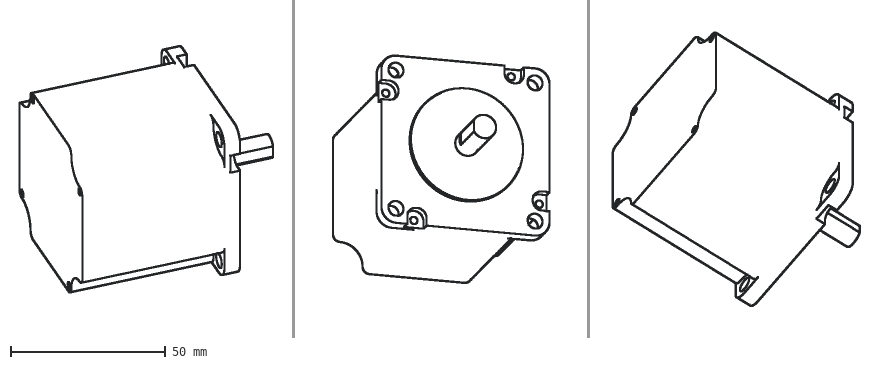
import cadquery as cq
import math

length = 76.0
width = 57.0
half_width = width / 2

shaft_diameter = 8.0
shaft_length = 19.5
flat_length = 15.0
flat_depth = 0.5
pilot_diameter = 38.0
pilot_thickness = 1.6

flange_thickness = 5.5
corner_radius = 5.0
mount_hole_offset = 23.55
mount_hole_diameter = 5.0

scallop_center = 26.1
scallop_radius = 7.6
blend_radius = half_width - scallop_center

screw_offset = 16.5
screw_edge_offset = 26.0
screw_diameter = 2.4
recess_width = 6.5
recess_depth = 3.4

pilot_front = length - shaft_length
flange_front = pilot_front - pilot_thickness
body_length = flange_front - flange_thickness
shaft_radius = shaft_diameter / 2


def extrude_y(sketch, distance):
    """Extrude an XZ sketch toward +Y."""
    return sketch.extrude(-distance)


def section(y):
    return cq.Workplane("XZ", origin=(0, y, 0))


def quarter_turn(solid, index):
    return solid.rotate((0, 0, 0), (0, 1, 0), 90 * index)


def corner_scallop():
    """Cutter for the +X +Z body corner."""
    near = scallop_center - scallop_radius
    blend_start = near - blend_radius
    diagonal = math.sqrt(0.5)
    scallop_middle = scallop_center - scallop_radius * diagonal
    blend_middle_along = blend_start + blend_radius * diagonal
    blend_middle_across = scallop_center + blend_radius * diagonal
    outline = (
        section(0)
        .moveTo(blend_start, half_width)
        .threePointArc((blend_middle_along, blend_middle_across), (near, scallop_center))
        .threePointArc((scallop_middle, scallop_middle), (scallop_center, near))
        .threePointArc((blend_middle_across, blend_middle_along), (half_width, blend_start))
        .lineTo(half_width, half_width)
        .close()
    )
    return extrude_y(outline, body_length)


def screw_cut():
    """Screw hole near the +Z side, with a round-bottomed recess open to that side."""
    hole = section(0).center(-screw_offset, screw_edge_offset).circle(screw_diameter / 2)
    recess_start = flange_front - recess_depth
    round_end = section(recess_start).center(-screw_offset, screw_edge_offset).circle(recess_width / 2)
    opening = section(recess_start).center(-screw_offset, screw_edge_offset + recess_width / 2)
    return (
        extrude_y(hole, flange_front)
        .union(extrude_y(round_end, recess_depth))
        .union(extrude_y(opening.rect(recess_width, recess_width), recess_depth))
    )


def shaft():
    """Round shaft with a flat on its +X side at the free end."""
    rod = extrude_y(section(pilot_front).circle(shaft_radius), shaft_length)
    flat_start = length - flat_length
    flat = section(flat_start).center(shaft_radius, 0).rect(2 * flat_depth, shaft_diameter)
    return rod.cut(extrude_y(flat, flat_length))


result = extrude_y(section(0).rect(width, width), flange_front).edges("|Y").fillet(corner_radius)

mount_holes = section(0).rect(2 * mount_hole_offset, 2 * mount_hole_offset, forConstruction=True).vertices()
result = result.cut(extrude_y(mount_holes.circle(mount_hole_diameter / 2), flange_front))

for corner in range(4):
    result = result.cut(quarter_turn(corner_scallop(), corner))
    result = result.cut(quarter_turn(screw_cut(), corner))

result = result.union(extrude_y(section(flange_front).circle(pilot_diameter / 2), pilot_thickness))
result = result.union(shaft())